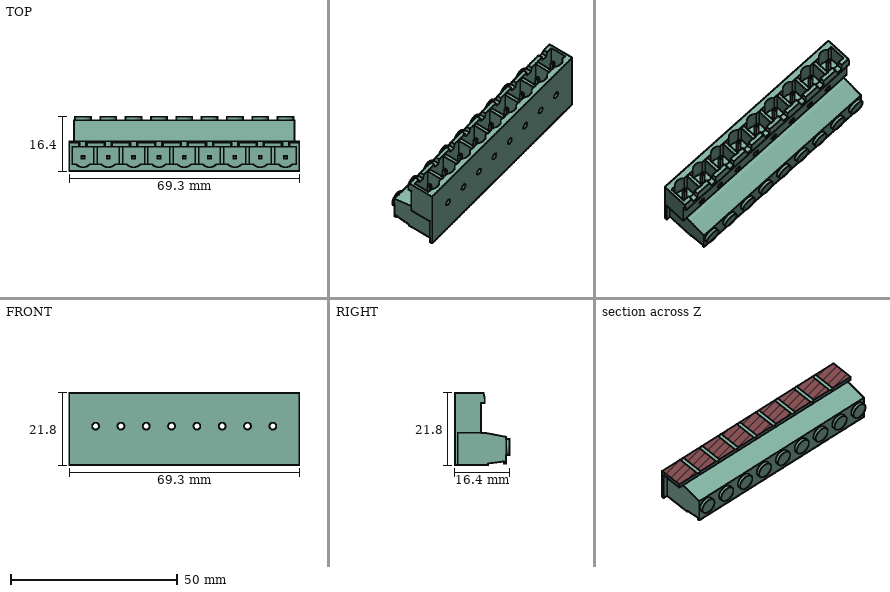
import cadquery as cq


pole_count = 9
pitch = 7.6
pole_xs = [(i - (pole_count - 1) / 2) * pitch for i in range(pole_count)]
gap_xs = [x + pitch / 2 for x in pole_xs[:-1]]

length = 69.3
height = 21.8
plate_thickness = 0.8
header_depth = 7.9
lip_depth = 9.0
lip_top_depth = 8.6
lip_bottom_z = height - 3.1
lip_widest_z = height - 1.5

block_length = 66.55
block_top_z = 9.7
block_back = 15.4
block_slope_start = 9.15
block_back_top_z = 8.5
foot_thickness = 0.6
foot_bottom_z = 0.4
underside_back_z = 1.05
underside_step_y = 10.0

boss_diameter = 4.9
boss_z = 5.4
boss_back = 16.4

divider_thickness = 1.05
divider_top_z = height - 0.4
pocket_width = pitch - divider_thickness
pocket_front = 2.1
pocket_back = 7.3
pocket_floor_z = 13.2
relief_radius = 2.8
relief_y = 3.95

pin_size = 1.0
pin_y = 4.2
pin_top_z = 20.25
tip_taper = 0.2
tip_height = 0.5

notch_floor_z = lip_widest_z
notch_floor_width = 1.8
notch_top_width = 2.5

hole_diameter = 2.0
hole_z = 11.7


def box(x_size, y_min, y_max, z_min, z_max, x=0.0):
    """Box centred on x, spanning the given Y and Z ranges."""
    return (
        cq.Workplane("XY", origin=(x, 0, z_min))
        .rect(x_size, y_max - y_min)
        .extrude(z_max - z_min)
        .translate((0, (y_min + y_max) / 2, 0))
    )


def cylinder_along_y(x, z, diameter, y_min, y_max):
    """Cylinder running backwards from y_min to y_max."""
    start = cq.Workplane("XZ", origin=(x, y_min, z))
    return start.circle(diameter / 2).extrude(y_min - y_max)


def side_extrusion(outline, x_size):
    """Extrude a (y, z) outline symmetrically along X."""
    return cq.Workplane("YZ").polyline(outline).close().extrude(x_size / 2, both=True)


def header():
    """Full-height plate with the header and its latching lip on the upper part."""
    return side_extrusion(
        [
            (0, 0),
            (plate_thickness, 0),
            (plate_thickness, block_top_z),
            (header_depth, block_top_z),
            (header_depth, lip_bottom_z),
            (lip_depth, lip_bottom_z),
            (lip_depth, lip_widest_z),
            (lip_top_depth, height),
            (0, height),
        ],
        length,
    )


def terminal_block():
    """Block with a sloping top and a small foot along its lower back edge."""
    return side_extrusion(
        [
            (0, 0),
            (underside_step_y, 0),
            (underside_step_y, foot_bottom_z),
            (block_back - foot_thickness, underside_back_z),
            (block_back - foot_thickness, foot_bottom_z),
            (block_back, foot_bottom_z),
            (block_back, block_back_top_z),
            (block_slope_start, block_top_z),
            (0, block_top_z),
        ],
        block_length,
    )


def pocket(x):
    """Rectangular pocket with a round relief cut into its front wall."""
    recess = box(pocket_width, pocket_front, pocket_back, pocket_floor_z, height, x)
    relief = (
        cq.Workplane("XY", origin=(x, relief_y, pocket_floor_z))
        .circle(relief_radius)
        .extrude(height - pocket_floor_z)
    )
    front_part = box(pitch, 0, relief_y, pocket_floor_z, height, x)
    return recess.union(relief.intersect(front_part))


def divider_recess(x):
    """Cut that sets the top of a divider below the rim."""
    return box(divider_thickness, pocket_front, pocket_back, divider_top_z, height, x)


def notch(x):
    """Tapered notch from the pocket out through the rear wall and lip."""
    return (
        cq.Workplane("XZ", origin=(x, pocket_back, 0))
        .moveTo(-notch_floor_width / 2, notch_floor_z)
        .lineTo(notch_floor_width / 2, notch_floor_z)
        .lineTo(notch_top_width / 2, height)
        .lineTo(-notch_top_width / 2, height)
        .close()
        .extrude(pocket_back - lip_depth)
    )


def pin(x):
    """Square pin standing on the pocket floor, its tip tapered at front and back."""
    y_min = pin_y - pin_size / 2
    y_max = pin_y + pin_size / 2
    outline = [
        (y_min, pocket_floor_z),
        (y_max, pocket_floor_z),
        (y_max, pin_top_z - tip_height),
        (y_max - tip_taper, pin_top_z),
        (y_min + tip_taper, pin_top_z),
        (y_min, pin_top_z - tip_height),
    ]
    return side_extrusion(outline, pin_size).translate((x, 0, 0))


result = header().union(terminal_block())

for pole_x in pole_xs:
    result = result.cut(pocket(pole_x)).cut(notch(pole_x))
    result = result.union(pin(pole_x))
    result = result.union(cylinder_along_y(pole_x, boss_z, boss_diameter, block_back, boss_back))

for gap_x in gap_xs:
    result = result.cut(divider_recess(gap_x))
    result = result.cut(cylinder_along_y(gap_x, hole_z, hole_diameter, 0, header_depth))